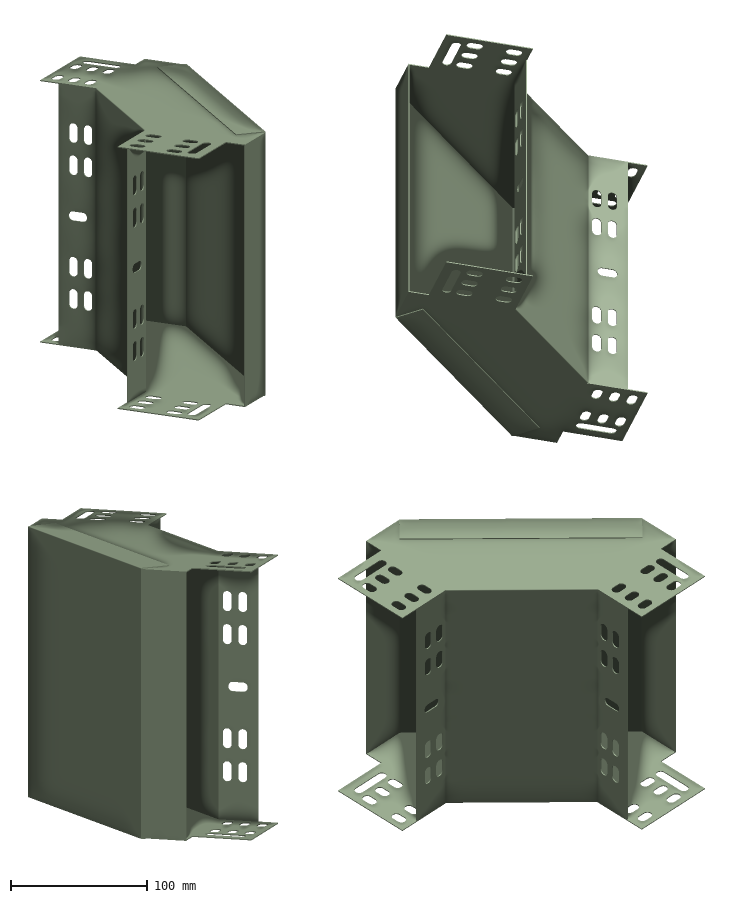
import cadquery as cq
import math

SIZE = 206.2
THICKNESS = 0.78
BEND_RADIUS = THICKNESS
CLEAR_HEIGHT = 200.0

BEND_ANGLE = 45.0
TAB_LENGTH = 45.4
TAB_INNER = 124.3
TAB_OUTER = 190.5
WALL_SETBACK = 15.0

PANEL_CORNER = 80.0
FLANGE_DEPTH = 23.0

SLOT_WIDTH = 7.0
WALL_SLOT_LENGTH = 15.0
WALL_SLOT_COLUMNS = (27.0, 39.0)
WALL_SLOT_HEIGHTS = (39.0, 63.7)
MIDDLE_SLOT_PLACE = 30.7
PLATE_SLOT_LENGTH = 12.2
PLATE_SLOT_FIRST = 8.5
PLATE_SLOT_PITCH = 13.5
PLATE_SLOT_COUNT = 3
PLATE_SLOT_ROWS = (136.3, 166.5)
LONG_SLOT_LENGTH = 30.7
LONG_SLOT_CENTRE = (23.0, 179.8)

TRAY_HEIGHT = CLEAR_HEIGHT + 2 * THICKNESS
HALF_TRAY = TRAY_HEIGHT / 2
PLATE_EDGE = SIZE - THICKNESS
BEND_SHIFT = THICKNESS * math.tan(math.radians(BEND_ANGLE / 2))


def mirrored(half_path):
    """Continue a plan path with its mirror image across the line X = Y."""
    return half_path + [(y, x) for x, y in reversed(half_path)]


def prism(outline, bottom, height):
    return cq.Workplane("XY").workplane(offset=bottom).polyline(outline).close().extrude(height)


def bent_sheet(end, bend, face, inward):
    """Upright sheet with two bends; inward is the side (+1 or -1) the thickness lies on."""
    back = face + inward * THICKNESS
    front_path = mirrored([(end, face), (bend, face)])
    back_path = mirrored([(end, back), (bend + inward * BEND_SHIFT, back)])
    return prism(front_path + back_path[::-1], -HALF_TRAY, TRAY_HEIGHT)


def both_legs(cutter):
    """The cutter for the leg along -X together with its mirror image for the leg along -Y."""
    return cutter.union(cutter.rotate((0, 0, 0), (1, 1, 0), 180))


def slots(plane, centres, length, angle, depth):
    return plane.pushPoints(centres).slot2D(length, SLOT_WIDTH, angle).extrude(depth)


def plate_slot_cutters():
    """Slots through both plates: a grid of short ones across each tab and a long one along its outer edge."""
    plane = cq.Workplane("XY").workplane(offset=-HALF_TRAY)
    columns = [PLATE_SLOT_FIRST + i * PLATE_SLOT_PITCH for i in range(PLATE_SLOT_COUNT)]
    centres = [(x, y) for x in columns for y in PLATE_SLOT_ROWS]
    short_slots = slots(plane, centres, PLATE_SLOT_LENGTH, 90, TRAY_HEIGHT)
    long_slot = slots(plane, [LONG_SLOT_CENTRE], LONG_SLOT_LENGTH, 0, TRAY_HEIGHT)
    return both_legs(short_slots.union(long_slot))


def wall_slot_cutters():
    """Slots through the straight ends of the inner wall: upright pairs and one level slot at mid height."""
    plane = cq.Workplane("XZ", origin=(0, TAB_INNER, 0))
    heights = [side * z for side in (-1, 1) for z in WALL_SLOT_HEIGHTS]
    centres = [(x, z) for x in WALL_SLOT_COLUMNS for z in heights]
    upright_slots = slots(plane, centres, WALL_SLOT_LENGTH, 90, -THICKNESS)
    middle_slot = slots(plane, [(MIDDLE_SLOT_PLACE, 0)], WALL_SLOT_LENGTH, 0, -THICKNESS)
    return both_legs(upright_slots.union(middle_slot))


def make_tray():
    """Two plates joined by the inner wall, with rounded bends along the diagonal."""
    outline = mirrored([
        (TAB_LENGTH, TAB_INNER),
        (0, TAB_INNER),
        (0, TAB_OUTER),
        (TAB_LENGTH, TAB_OUTER),
        (TAB_LENGTH, PLATE_EDGE),
        (PANEL_CORNER - BEND_SHIFT, PLATE_EDGE),
    ])
    tray = bent_sheet(WALL_SETBACK, TAB_LENGTH, TAB_INNER, 1)
    for bottom in (-HALF_TRAY, HALF_TRAY - THICKNESS):
        tray = tray.union(prism(outline, bottom, THICKNESS))
    diagonal_middle = (TAB_LENGTH + TAB_INNER) / 2
    for z in (-HALF_TRAY, HALF_TRAY):
        bend_line = cq.NearestToPointSelector((diagonal_middle, diagonal_middle, z))
        tray = tray.edges(bend_line).fillet(BEND_RADIUS)
    return tray.cut(plate_slot_cutters()).cut(wall_slot_cutters())


def make_panel():
    """Outer panel with two wings and a flange bent over each plate."""
    step = FLANGE_DEPTH * math.sqrt(0.5)
    flange = mirrored([(PANEL_CORNER - step, SIZE - step), (PANEL_CORNER, SIZE)])
    panel = bent_sheet(TAB_LENGTH, PANEL_CORNER, SIZE, -1)
    for bottom in (-HALF_TRAY - THICKNESS, HALF_TRAY):
        panel = panel.union(prism(flange, bottom, THICKNESS))
    outermost = cq.DirectionMinMaxSelector(cq.Vector(1, 1, 0), True)
    return panel.faces("<Z or >Z").edges(outermost).fillet(BEND_RADIUS)


tray = make_tray()
panel = make_panel()
result = cq.Compound.makeCompound([tray.val(), panel.val()])